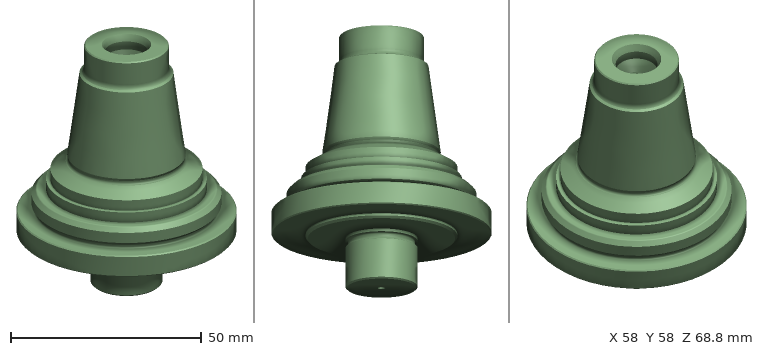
import cadquery as cq
import math

SPIGOT_GROOVE_BOTTOM = 10.95
SPIGOT_GROOVE_TOP = 12.85
BOSS_BOTTOM = 13.6
FLANGE_BOTTOM = 14.8
FLANGE_TOP = 20.9
COLLAR_BOTTOM = 22.8
COLLAR_TOP = 27.0
STEP_TOP = 29.9
SHOULDER_TOP = 32.9
TAPER_FOOT = 35.3
TAPER_BOTTOM = 37.0
TAPER_TOP = 60.6
NOSE_BOTTOM = 62.2
TOTAL_HEIGHT = 68.8

SPIGOT_R = 19.0 / 2
SPIGOT_GROOVE_R = 17.7 / 2
BOSS_R = 40.0 / 2
FLANGE_R = 58.0 / 2
COLLAR_GROOVE_R = 48.1 / 2
COLLAR_R = 50.0 / 2
STEP_R = 42.4 / 2
SHOULDER_R = 40.08 / 2
TAPER_NECK_R = 15.3
TAPER_BOTTOM_R = 15.6
TAPER_TOP_R = 12.38
NOSE_R = 22.3 / 2

SPIGOT_CHAMFER = 0.4
BOSS_CHAMFER = 0.6
FLANGE_CHAMFER = 0.3
COLLAR_CHAMFER = 1.25
COLLAR_EDGE_FILLET = 0.6
NOSE_CHAMFER = 0.3

SPIGOT_GROOVE_FLOOR_BOTTOM = 12.0
SPIGOT_GROOVE_FLOOR_TOP = 12.3
SPIGOT_GROOVE_FILLET = 0.5
SPIGOT_GROOVE_FILLET_SWEEP = 75
COLLAR_GROOVE_FILLET = 0.5
COLLAR_RELIEF_DEPTH = 0.4
COLLAR_RELIEF_FILLET = 0.7
COLLAR_RELIEF_SWEEP = 75
NECK_TOP = 36.3
NECK_FILLET = 0.7
NOSE_FILLET = 1.75

BORE_R = 11.0 / 2
BORE_MOUTH_R = 13.0 / 2
BORE_MOUTH_HALF_ANGLE = 30.0
BORE_DEPTH = 4.0
BORE_TIP_HALF_ANGLE = 60.0
BORE_FLOOR_R = 4.46 / 2
THROUGH_HOLE_R = 2.0 / 2

COS_45 = math.sqrt(0.5)


def arc_by_centre(sketch, centre, radius, start_angle, end_angle):
    """Add an arc from start_angle to end_angle (degrees) about a centre."""
    def point(angle):
        turn = math.radians(angle)
        return (centre[0] + radius * math.cos(turn), centre[1] + radius * math.sin(turn))

    return sketch.threePointArc(point((start_angle + end_angle) / 2), point(end_angle))


def add_spigot(outline):
    """Chamfered spigot with a rounded undercut groove near its root."""
    flare_rise = SPIGOT_GROOVE_FLOOR_BOTTOM - SPIGOT_GROOVE_BOTTOM
    groove_depth = SPIGOT_R - SPIGOT_GROOVE_R
    flare_radius = (flare_rise**2 + groove_depth**2) / (2 * groove_depth)
    flare_centre = (SPIGOT_GROOVE_R + flare_radius, SPIGOT_GROOVE_FLOOR_BOTTOM)
    flare_sweep = math.degrees(math.asin(flare_rise / flare_radius))
    fillet_centre = (SPIGOT_GROOVE_R + SPIGOT_GROOVE_FILLET, SPIGOT_GROOVE_FLOOR_TOP)
    outline = (
        outline
        .lineTo(SPIGOT_R - SPIGOT_CHAMFER, 0)
        .lineTo(SPIGOT_R, SPIGOT_CHAMFER)
        .lineTo(SPIGOT_R, SPIGOT_GROOVE_BOTTOM)
    )
    outline = arc_by_centre(outline, flare_centre, flare_radius, 180 + flare_sweep, 180)
    outline = outline.lineTo(SPIGOT_GROOVE_R, SPIGOT_GROOVE_FLOOR_TOP)
    outline = arc_by_centre(
        outline, fillet_centre, SPIGOT_GROOVE_FILLET, 180, 180 - SPIGOT_GROOVE_FILLET_SWEEP
    )
    return (
        outline
        .lineTo(SPIGOT_R, SPIGOT_GROOVE_TOP)
        .lineTo(SPIGOT_R, BOSS_BOTTOM)
    )


def add_flange(outline):
    """Chamfered boss and the flange above it."""
    return (
        outline
        .lineTo(BOSS_R - BOSS_CHAMFER, BOSS_BOTTOM)
        .lineTo(BOSS_R, BOSS_BOTTOM + BOSS_CHAMFER)
        .lineTo(BOSS_R, FLANGE_BOTTOM)
        .lineTo(FLANGE_R - FLANGE_CHAMFER, FLANGE_BOTTOM)
        .lineTo(FLANGE_R, FLANGE_BOTTOM + FLANGE_CHAMFER)
        .lineTo(FLANGE_R, FLANGE_TOP - FLANGE_CHAMFER)
        .lineTo(FLANGE_R - FLANGE_CHAMFER, FLANGE_TOP)
    )


def add_collar(outline):
    """Rounded groove, the chamfered collar above it and two plain steps."""
    fillet_centre = (COLLAR_GROOVE_R + COLLAR_GROOVE_FILLET, FLANGE_TOP + COLLAR_GROOVE_FILLET)
    relief_r = COLLAR_R - COLLAR_RELIEF_DEPTH
    relief_z = COLLAR_BOTTOM - COLLAR_RELIEF_DEPTH
    relief_rise = COLLAR_RELIEF_FILLET * math.sin(math.radians(COLLAR_RELIEF_SWEEP))
    relief_centre = (COLLAR_GROOVE_R + COLLAR_RELIEF_FILLET, relief_z - relief_rise)
    edge_tangent = COLLAR_EDGE_FILLET * math.tan(math.radians(45 / 2))
    edge_centre = (
        COLLAR_R - COLLAR_CHAMFER - edge_tangent,
        COLLAR_TOP - COLLAR_EDGE_FILLET,
    )
    outline = outline.lineTo(fillet_centre[0], FLANGE_TOP)
    outline = arc_by_centre(outline, fillet_centre, COLLAR_GROOVE_FILLET, 270, 180)
    outline = outline.lineTo(COLLAR_GROOVE_R, relief_centre[1])
    outline = arc_by_centre(
        outline, relief_centre, COLLAR_RELIEF_FILLET, 180, 180 - COLLAR_RELIEF_SWEEP
    )
    outline = (
        outline
        .lineTo(relief_r, relief_z)
        .lineTo(COLLAR_R, COLLAR_BOTTOM)
        .lineTo(COLLAR_R, COLLAR_TOP - COLLAR_CHAMFER)
        .lineTo(
            edge_centre[0] + COLLAR_EDGE_FILLET * COS_45,
            edge_centre[1] + COLLAR_EDGE_FILLET * COS_45,
        )
    )
    outline = arc_by_centre(outline, edge_centre, COLLAR_EDGE_FILLET, 45, 90)
    return (
        outline
        .lineTo(STEP_R, COLLAR_TOP)
        .lineTo(STEP_R, STEP_TOP)
        .lineTo(SHOULDER_R, STEP_TOP)
        .lineTo(SHOULDER_R, SHOULDER_TOP)
    )


def add_taper(outline):
    """Conical shoulder, rounded neck and the long taper."""
    fillet_centre = (TAPER_NECK_R + NECK_FILLET, TAPER_FOOT + NECK_FILLET)
    outline = outline.lineTo(fillet_centre[0], TAPER_FOOT)
    outline = arc_by_centre(outline, fillet_centre, NECK_FILLET, 270, 180)
    return (
        outline
        .lineTo(TAPER_NECK_R, NECK_TOP)
        .lineTo(TAPER_BOTTOM_R, TAPER_BOTTOM)
        .lineTo(TAPER_TOP_R, TAPER_TOP)
    )


def add_nose(outline):
    """Cylindrical nose that flares out to the top of the taper."""
    fillet_centre = (NOSE_R + NOSE_FILLET, NOSE_BOTTOM)
    flare_r = fillet_centre[0] - NOSE_FILLET * COS_45
    flare_z = NOSE_BOTTOM - NOSE_FILLET * COS_45
    outline = outline.lineTo(flare_r, flare_z)
    outline = arc_by_centre(outline, fillet_centre, NOSE_FILLET, 225, 180)
    return (
        outline
        .lineTo(NOSE_R, TOTAL_HEIGHT - NOSE_CHAMFER)
        .lineTo(NOSE_R - NOSE_CHAMFER, TOTAL_HEIGHT)
    )


def make_body():
    """Solid of revolution about Z, without the bore."""
    outline = cq.Workplane("XZ").moveTo(0, 0)
    for add_section in (add_spigot, add_flange, add_collar, add_taper, add_nose):
        outline = add_section(outline)
    return outline.lineTo(0, TOTAL_HEIGHT).close().revolve(360, (0, 0, 0), (0, 1, 0))


def make_bore():
    """Countersunk blind bore with a truncated drill tip and a small through hole."""
    mouth_depth = (BORE_MOUTH_R - BORE_R) / math.tan(math.radians(BORE_MOUTH_HALF_ANGLE))
    tip_depth = (BORE_R - BORE_FLOOR_R) / math.tan(math.radians(BORE_TIP_HALF_ANGLE))
    bore_end = TOTAL_HEIGHT - BORE_DEPTH
    floor = bore_end - tip_depth
    return (
        cq.Workplane("XZ")
        .lineTo(THROUGH_HOLE_R, 0)
        .lineTo(THROUGH_HOLE_R, floor)
        .lineTo(BORE_FLOOR_R, floor)
        .lineTo(BORE_R, bore_end)
        .lineTo(BORE_R, TOTAL_HEIGHT - mouth_depth)
        .lineTo(BORE_MOUTH_R, TOTAL_HEIGHT)
        .lineTo(0, TOTAL_HEIGHT)
        .close()
        .revolve(360, (0, 0, 0), (0, 1, 0))
    )


result = make_body().cut(make_bore())